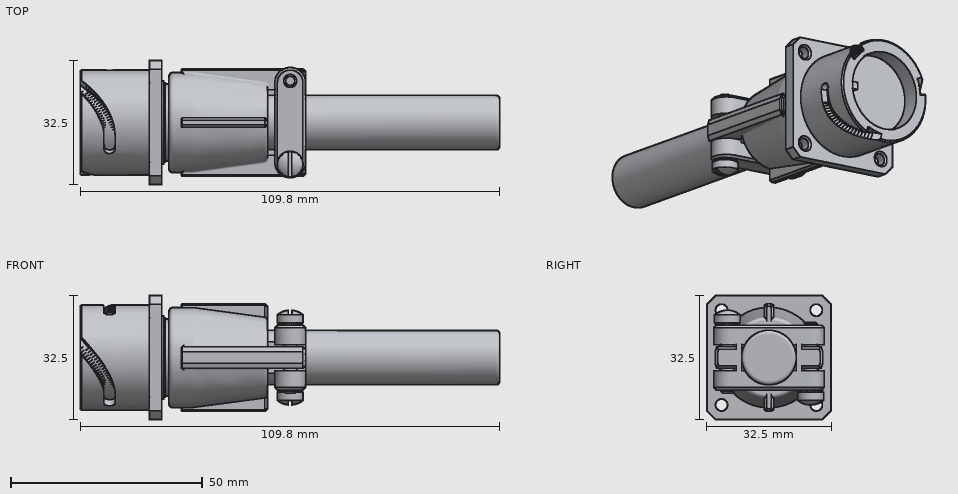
import cadquery as cq
import math

TOTAL_LENGTH = 109.82

SHELL_LENGTH = 18.15
SHELL_RADIUS = 13.8
SHELL_CHAMFER = 0.4
BORE_RADIUS = 10.45
BORE_DEPTH = 5.0

KEY_START = 0.6
KEY_WIDTH = 1.9
KEY_TIP_Y = 8.3

SLOT_COUNT = 3
SLOT_WIDTH = 2.9
SLOT_DEPTH = 1.95
SLOT_END_X = 7.7
SLOT_START_ANGLE = 45.0
SLOT_RAMP_ANGLE = 60.0
SLOT_SWEEP_ANGLE = 75.0
SLOT_FACETS = 25
SLOT_LEAD_IN = 2.0
FACET_OVERLAP = 1.3

FLANGE_SIZE = 32.51
FLANGE_THICKNESS = 3.25
FLANGE_CORNER = 2.3
MOUNT_HOLE_OFFSET = 12.4
MOUNT_HOLE_DIAMETER = 3.1
MOUNT_SINK_DIAMETER = 4.1
MOUNT_SINK_ANGLE = 90

COLLAR_LENGTH = 0.5
COLLAR_RADIUS = 10.9
NECK_RADIUS = 10.4
NECK_STEP_X = 22.3
NECK_END_RADIUS = 10.1

BACKSHELL_START = 23.2
TAPER_START = 29.5
BACKSHELL_END = 49.05
BACKSHELL_RADIUS = 13.15
BACKSHELL_END_RADIUS = 10.55
BACKSHELL_FILLET = 1.2
BACKSHELL_END_FILLET = 1.0

RIB_START = 26.45
RIB_REACH = 14.1
RIB_WIDTH = 2.56
RIB_FLAT = 1.1
WING_WIDTH = 5.66
WING_FLAT = 2.96
CROWN_DEPTH = 0.45
RIB_END_CHAMFER = 0.7
RIB_FRONT_CHAMFER = 0.3
WING_ROOT_FILLET = 0.5

CLAMP_END = 59.0
CLAMP_WIDTH = 8.05
CLAMP_LENGTH = 28.9
CLAMP_INNER_Z = 3.4
CLAMP_OUTER_Z = 8.5
CLAMP_CHAMFER = 0.7
TAB_OUTER_Y = 8.55
TAB_HEIGHT = 8.2
CABLE_CHANNEL_WIDTH = 14.2

SCREW_OFFSET = 10.9
SCREW_RADIUS = 1.7
SCREW_TIP_Z = 9.3
SCREW_TIP_CHAMFER = 0.5
WASHER_RADIUS = 3.2
WASHER_TEETH = 18
WASHER_NOTCH_WIDTH = 0.5
WASHER_NOTCH_DEPTH = 0.3
HEAD_RADIUS = 3.4
HEAD_BASE_Z = 9.05
HEAD_RIM_Z = 11.15
HEAD_TOP_Z = 12.45
DRIVER_SLOT_WIDTH = 0.9
DRIVER_SLOT_DEPTH = 1.2

CABLE_RADIUS = 7.15
CABLE_END_FILLET = 1.0

FLANGE_END = SHELL_LENGTH + FLANGE_THICKNESS
CLAMP_CENTRE_X = CLAMP_END - CLAMP_WIDTH / 2


def cylinder_x(start, end, radius):
    return cq.Workplane("YZ", origin=(start, 0, 0)).circle(radius).extrude(end - start)


def make_shell():
    shell = cylinder_x(0, SHELL_LENGTH, SHELL_RADIUS).faces("<X").chamfer(SHELL_CHAMFER)
    shell = shell.cut(cylinder_x(0, BORE_DEPTH, BORE_RADIUS))
    key_root_y = (BORE_RADIUS + SHELL_RADIUS - SLOT_DEPTH) / 2
    key = cq.Workplane("XY").box(
        BORE_DEPTH - KEY_START, key_root_y - KEY_TIP_Y, KEY_WIDTH, centered=(False, False, True)
    )
    return shell.union(key.translate((KEY_START, KEY_TIP_Y, 0)))


def slot_path_point(fraction):
    """Slot centreline as (x, arc length round the shell) at a fraction of its sweep."""
    angle = fraction * SLOT_SWEEP_ANGLE
    ramp = min(angle / SLOT_RAMP_ANGLE, 1.0)
    x = SLOT_END_X * math.sin(ramp * math.pi / 2)
    return x, math.radians(angle) * SHELL_RADIUS


def radial_cutter(profile, arc_length):
    """Extrude an XY profile outward from the slot floor and turn it round the shell axis."""
    cutter = profile.extrude(2 * SLOT_DEPTH).translate((0, 0, SHELL_RADIUS - SLOT_DEPTH))
    angle = math.degrees(arc_length / SHELL_RADIUS)
    return cutter.rotate((0, 0, 0), (1, 0, 0), SLOT_START_ANGLE - 90 + angle)


def make_slot_cutter():
    """One bayonet slot, built from short straight facets with a round closed end."""
    points = [slot_path_point(i / SLOT_FACETS) for i in range(SLOT_FACETS + 1)]
    end_x, end_arc = points[-1]
    entry_x, entry_arc = points[1]
    lead_in = SLOT_LEAD_IN / math.hypot(entry_x, entry_arc)
    points[0] = (-lead_in * entry_x, -lead_in * entry_arc)
    cutter = radial_cutter(cq.Workplane("XY").center(end_x, 0).circle(SLOT_WIDTH / 2), end_arc)
    for (x0, arc0), (x1, arc1) in zip(points, points[1:]):
        length = FACET_OVERLAP * math.hypot(x1 - x0, arc1 - arc0)
        direction = math.degrees(math.atan2(arc0 - arc1, x1 - x0))
        facet = (
            cq.Workplane("XY")
            .center((x0 + x1) / 2, 0)
            .transformed(rotate=(0, 0, direction))
            .rect(length, SLOT_WIDTH)
        )
        cutter = cutter.union(radial_cutter(facet, (arc0 + arc1) / 2))
    return cutter


def cut_bayonet_slots(body):
    cutter = make_slot_cutter()
    for i in range(SLOT_COUNT):
        body = body.cut(cutter.rotate((0, 0, 0), (1, 0, 0), i * 360 / SLOT_COUNT))
    return body


def make_flange():
    flange = (
        cq.Workplane("YZ", origin=(SHELL_LENGTH, 0, 0))
        .rect(FLANGE_SIZE, FLANGE_SIZE)
        .extrude(FLANGE_THICKNESS)
        .edges("|X")
        .chamfer(FLANGE_CORNER)
    )
    spacing = 2 * MOUNT_HOLE_OFFSET
    return (
        flange.faces("<X")
        .workplane(origin=(SHELL_LENGTH, 0, 0))
        .rect(spacing, spacing, forConstruction=True)
        .vertices()
        .cskHole(MOUNT_HOLE_DIAMETER, MOUNT_SINK_DIAMETER, MOUNT_SINK_ANGLE)
    )


def make_neck():
    collar = cylinder_x(FLANGE_END, FLANGE_END + COLLAR_LENGTH, COLLAR_RADIUS)
    neck = cylinder_x(FLANGE_END, NECK_STEP_X, NECK_RADIUS)
    return collar.union(neck).union(cylinder_x(NECK_STEP_X, BACKSHELL_START, NECK_END_RADIUS))


def make_backshell():
    backshell = (
        cq.Workplane("XY")
        .moveTo(BACKSHELL_START, 0)
        .lineTo(BACKSHELL_START, BACKSHELL_RADIUS)
        .lineTo(TAPER_START, BACKSHELL_RADIUS)
        .lineTo(BACKSHELL_END, BACKSHELL_END_RADIUS)
        .lineTo(BACKSHELL_END, 0)
        .close()
        .revolve(360, (0, 0, 0), (1, 0, 0))
    )
    backshell = backshell.faces("<X").edges().fillet(BACKSHELL_FILLET)
    return backshell.faces(">X").edges().fillet(BACKSHELL_END_FILLET)


def make_rib_pair(end, width, flat):
    """A bar crossing the axis in Z, with sloping crowns on both outer faces."""
    shoulder = RIB_REACH - CROWN_DEPTH
    side = [
        (width / 2, -shoulder),
        (width / 2, shoulder),
        (flat / 2, RIB_REACH),
        (-flat / 2, RIB_REACH),
        (-width / 2, shoulder),
        (-width / 2, -shoulder),
        (-flat / 2, -RIB_REACH),
        (flat / 2, -RIB_REACH),
    ]
    bar = cq.Workplane("YZ", origin=(RIB_START, 0, 0)).polyline(side).close().extrude(end - RIB_START)
    return bar.faces(">X").chamfer(RIB_END_CHAMFER).faces("<X").chamfer(RIB_FRONT_CHAMFER)


def make_winged_backshell():
    """Backshell with a wing on each side, filleted where the wings meet it."""
    wings = make_rib_pair(CLAMP_END, WING_WIDTH, WING_FLAT).rotate((0, 0, 0), (1, 0, 0), 90)
    root_start = RIB_START + 2 * RIB_FRONT_CHAMFER
    root_end = BACKSHELL_END - BACKSHELL_END_FILLET / 10
    roots = cq.selectors.BoxSelector(
        (root_start, -BACKSHELL_RADIUS, -WING_WIDTH),
        (root_end, BACKSHELL_RADIUS, WING_WIDTH),
    )
    return make_backshell().union(wings).edges(roots).fillet(WING_ROOT_FILLET)


def clamp_zone_box(width, height):
    """Box centred on the axis between the backshell end and the clamp end."""
    length = CLAMP_END - BACKSHELL_END
    box = cq.Workplane("XY").box(length, width, height, centered=(False, True, True))
    return box.translate((BACKSHELL_END, 0, 0))


def make_tabbed_backshell():
    """Winged backshell with an upright tab on each wing and a channel for the cable between."""
    tabs = clamp_zone_box(2 * TAB_OUTER_Y, TAB_HEIGHT)
    channel = clamp_zone_box(CABLE_CHANNEL_WIDTH, TAB_HEIGHT)
    return make_winged_backshell().union(tabs).cut(channel)


def make_clamp_half():
    """Upper clamp bar with the screw head at -Y and the tip of the opposite screw at +Y."""
    bar = (
        cq.Workplane("XY", origin=(CLAMP_CENTRE_X, 0, CLAMP_INNER_Z))
        .slot2D(CLAMP_LENGTH, CLAMP_WIDTH, 90)
        .extrude(CLAMP_OUTER_Z - CLAMP_INNER_Z)
        .faces(">Z")
        .chamfer(CLAMP_CHAMFER)
    )
    return bar.union(make_screw_head()).union(make_screw_tip())


def make_screw_head():
    dome_height = HEAD_TOP_Z - HEAD_RIM_Z
    dome_radius = (HEAD_RADIUS**2 + dome_height**2) / (2 * dome_height)
    half_chord = HEAD_RADIUS / 2
    arc_mid_z = HEAD_TOP_Z - dome_radius + math.sqrt(dome_radius**2 - half_chord**2)
    head = (
        cq.Workplane("XZ")
        .moveTo(0, 0)
        .lineTo(SCREW_RADIUS, 0)
        .lineTo(SCREW_RADIUS, CLAMP_OUTER_Z)
        .lineTo(WASHER_RADIUS, CLAMP_OUTER_Z)
        .lineTo(WASHER_RADIUS, HEAD_BASE_Z)
        .lineTo(HEAD_RADIUS, HEAD_BASE_Z)
        .lineTo(HEAD_RADIUS, HEAD_RIM_Z)
        .threePointArc((half_chord, arc_mid_z), (0, HEAD_TOP_Z))
        .close()
        .revolve(360, (0, 0, 0), (0, 1, 0))
    )
    driver_slot = (
        cq.Workplane("XY", origin=(0, 0, HEAD_TOP_Z - DRIVER_SLOT_DEPTH))
        .rect(DRIVER_SLOT_WIDTH, 2 * HEAD_RADIUS)
        .extrude(DRIVER_SLOT_DEPTH)
    )
    head = head.cut(driver_slot)
    notches = (
        cq.Workplane("XY", origin=(0, 0, CLAMP_OUTER_Z))
        .polarArray(WASHER_RADIUS, 0, 360, WASHER_TEETH)
        .rect(2 * WASHER_NOTCH_DEPTH, WASHER_NOTCH_WIDTH)
        .extrude(HEAD_BASE_Z - CLAMP_OUTER_Z)
    )
    return head.cut(notches).translate((CLAMP_CENTRE_X, -SCREW_OFFSET, 0))


def make_screw_tip():
    return (
        cq.Workplane("XY", origin=(CLAMP_CENTRE_X, SCREW_OFFSET, 0))
        .circle(SCREW_RADIUS)
        .extrude(SCREW_TIP_Z)
        .faces(">Z")
        .chamfer(SCREW_TIP_CHAMFER)
    )


def make_cable():
    cable = cylinder_x(BACKSHELL_END, TOTAL_LENGTH, CABLE_RADIUS)
    return cable.faces(">X").edges().fillet(CABLE_END_FILLET)


clamp_half = make_clamp_half()

result = cut_bayonet_slots(make_shell()).union(make_flange())
for piece in (
    make_neck(),
    make_tabbed_backshell(),
    make_rib_pair(BACKSHELL_END, RIB_WIDTH, RIB_FLAT),
    make_cable(),
    clamp_half,
    clamp_half.rotate((0, 0, 0), (1, 0, 0), 180),
):
    result = result.union(piece)